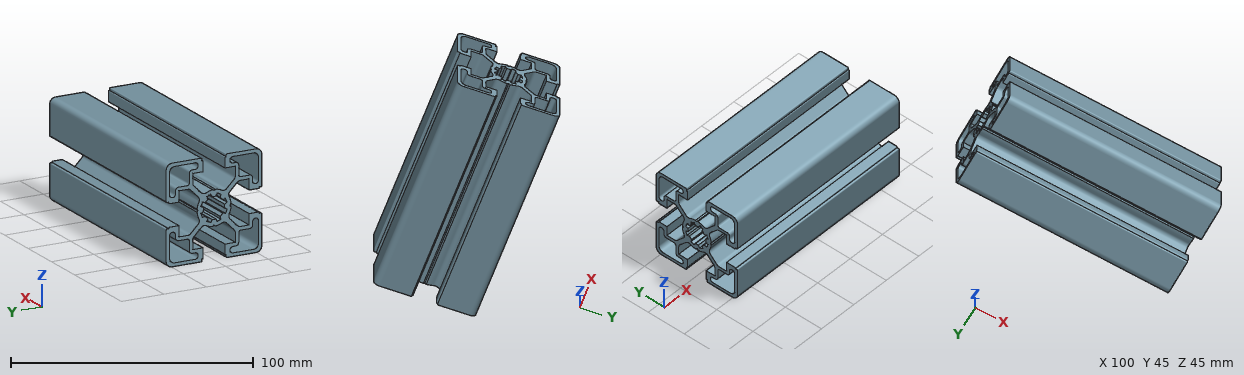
import cadquery as cq
import math


length = 100
side = 45
half_side = side / 2
corner_radius = 2.8

mouth_half_width = 5.7
mouth_depth = 1.2
throat_half_width = 5.1
lip_depth = 6
slot_half_width = 10
mouth_edge_radius = 0.5
throat_edge_radius = 0.5
slot_corner_radius = 2

web_thickness = 2.2
web_root_radius = 2

tube_radius = 8
floor_groove_half_width = 0.7
floor_groove_depth = 0.4

bore_radius = 5
bore_root_radius = 6.3
bore_groove_count = 8
bore_groove_mouth_angle = 25
bore_groove_root_angle = 17

wall = 1.6
hollow_arm_width = 2.8
hollow_arm_end = 7.5
hollow_outer_radius = 2.4
hollow_step_radius = 1.4
hollow_inner_radius = 1

lip_bottom = half_side - lip_depth
mouth_floor = half_side - mouth_depth
web_offset = web_thickness / math.sqrt(2)
hollow_outer = half_side - wall
hollow_step = hollow_outer - hollow_arm_width
hollow_inner = slot_half_width + wall


def prism(points):
    """Extrude a closed Y-Z polygon along the full length."""
    return cq.Workplane("YZ").polyline(points).close().extrude(length)


def rod(radius):
    return cq.Workplane("YZ").circle(radius).extrude(length)


def fillet_at(body, radius, points):
    """Round the lengthwise edges that pass through the given Y-Z points."""
    for y, z in points:
        edge = cq.selectors.NearestToPointSelector((length / 2, y, z))
        body = body.edges("|X").edges(edge).fillet(radius)
    return body


def mirrored(y, z):
    return [(y, z), (-y, z)]


def polar(radius, degrees):
    angle = math.radians(degrees)
    return (radius * math.cos(angle), radius * math.sin(angle))


def turn(body, degrees):
    return body.rotate((0, 0, 0), (1, 0, 0), degrees)


def make_slot():
    """Void of the +Z slot, from the mouth down to the central tube."""
    right = [
        (mouth_half_width, half_side),
        (mouth_half_width, mouth_floor),
        (throat_half_width, mouth_floor),
        (throat_half_width, lip_bottom),
        (slot_half_width, lip_bottom),
        (slot_half_width, slot_half_width + web_offset),
        (0, web_offset),
    ]
    left = [(-y, z) for y, z in reversed(right[:-1])]
    slot = prism(right + left).cut(rod(tube_radius))

    root_y = (math.sqrt(2 * tube_radius**2 - web_offset**2) - web_offset) / 2
    slot = fillet_at(slot, web_root_radius, mirrored(root_y, root_y + web_offset))
    slot = fillet_at(slot, slot_corner_radius, mirrored(slot_half_width, slot_half_width + web_offset))
    slot = fillet_at(slot, throat_edge_radius, mirrored(throat_half_width, mouth_floor))

    floor_groove = prism([
        (-floor_groove_half_width, tube_radius),
        (0, tube_radius - floor_groove_depth),
        (floor_groove_half_width, tube_radius),
    ])
    return slot.union(floor_groove)


def make_hollow():
    """L-shaped void in the (+Y, +Z) corner; each arm has a full-round end."""
    end_radius = hollow_arm_width / 2
    arm_middle = hollow_outer - end_radius
    straight_end = hollow_arm_end + end_radius
    hollow = (
        cq.Workplane("YZ")
        .moveTo(hollow_outer, hollow_outer)
        .lineTo(straight_end, hollow_outer)
        .threePointArc((hollow_arm_end, arm_middle), (straight_end, hollow_step))
        .lineTo(hollow_inner, hollow_step)
        .lineTo(hollow_inner, hollow_inner)
        .lineTo(hollow_step, hollow_inner)
        .lineTo(hollow_step, straight_end)
        .threePointArc((arm_middle, hollow_arm_end), (hollow_outer, straight_end))
        .close()
        .extrude(length)
    )
    hollow = fillet_at(hollow, hollow_outer_radius, [(hollow_outer, hollow_outer)])
    hollow = fillet_at(hollow, hollow_inner_radius, [(hollow_inner, hollow_inner)])
    steps = [(hollow_inner, hollow_step), (hollow_step, hollow_inner)]
    return fillet_at(hollow, hollow_step_radius, steps)


def make_bore():
    """Round bore with grooves that narrow outward, leaving teeth between them."""
    bore = rod(bore_radius)
    half_mouth = bore_groove_mouth_angle / 2
    half_root = bore_groove_root_angle / 2
    pitch = 360 / bore_groove_count
    groove = (
        cq.Workplane("YZ")
        .lineTo(*polar(bore_radius, -half_mouth))
        .lineTo(*polar(bore_root_radius, -half_root))
        .lineTo(*polar(bore_root_radius, half_root))
        .lineTo(*polar(bore_radius, half_mouth))
        .close()
        .extrude(length)
    )
    for index in range(bore_groove_count):
        bore = bore.union(turn(groove, (index + 0.5) * pitch))
    return bore


bar = cq.Workplane("YZ").rect(side, side).extrude(length).edges("|X").fillet(corner_radius)
slot = make_slot()
hollow = make_hollow()

for quarter in range(4):
    bar = bar.cut(turn(slot, quarter * 90))
    bar = bar.cut(turn(hollow, quarter * 90))

bar = bar.cut(make_bore())

for face in (-half_side, half_side):
    for edge_position in (-mouth_half_width, mouth_half_width):
        bar = fillet_at(bar, mouth_edge_radius, [(face, edge_position), (edge_position, face)])

result = bar